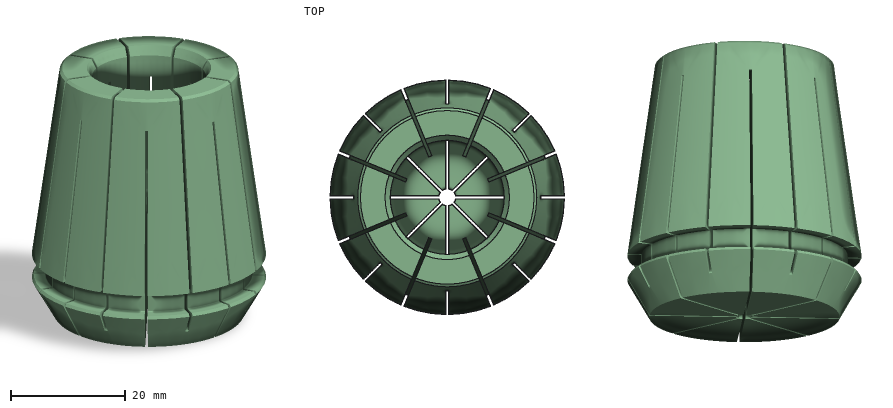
import cadquery as cq
import math

height = 46.0
max_diameter = 41.1
max_radius = max_diameter / 2

nose_half_angle = 30.0
nose_height = 6.65
flange_top = 7.18
flange_chamfer = 0.3
groove_top = 11.05
groove_radius = 18.12
groove_corner_fillet = 0.2
taper_half_angle = 8.0
top_edge_chamfer = 0.4

bore_radius = 10.0
bore_mouth_chamfer = 0.9
bore_mouth_half_angle = 30.0
bore_floor_fillet = 0.75
hole_radius = 1.45
hole_edge_fillet = 0.55

slots_per_set = 8
slot_pitch = 360.0 / slots_per_set
nose_slot_width = 0.5
nose_slot_top = 40.5
top_slot_width = 0.6
top_slot_exit_height = 3.15
top_slot_slope = 61.0
top_slot_inner_radius = 7.77
cut_margin = 2.3

nose_radius = max_radius - nose_height * math.tan(math.radians(nose_half_angle))
top_radius = max_radius - (height - groove_top) * math.tan(math.radians(taper_half_angle))
bore_mouth_depth = bore_mouth_chamfer / math.tan(math.radians(bore_mouth_half_angle))

top_slot_exit_radius = nose_radius + top_slot_exit_height * math.tan(math.radians(nose_half_angle))


def slot_bottom_height(radius):
    """Height of the sloping bottom of a top slot at a given radius."""
    rise = (top_slot_exit_radius - radius) * math.tan(math.radians(top_slot_slope))
    return top_slot_exit_height + rise


bore_floor = slot_bottom_height(top_slot_inner_radius)


def make_body():
    """Revolve the double-tapered outside with its locating groove."""
    corner_offset = groove_corner_fillet * (1 - math.sqrt(0.5))
    corner_middle = (groove_radius + corner_offset, flange_top + corner_offset)
    body = (
        cq.Workplane("XZ")
        .moveTo(0, 0)
        .lineTo(nose_radius, 0)
        .lineTo(max_radius, nose_height)
        .lineTo(max_radius - flange_chamfer, flange_top)
        .lineTo(groove_radius + groove_corner_fillet, flange_top)
        .threePointArc(corner_middle, (groove_radius, flange_top + groove_corner_fillet))
        .lineTo(groove_radius, groove_top)
        .lineTo(max_radius, groove_top)
        .lineTo(top_radius, height)
        .lineTo(0, height)
        .close()
        .revolve(360, (0, 0, 0), (0, 1, 0))
    )
    return body.faces(">Z").edges().chamfer(top_edge_chamfer)


def make_bore():
    """Revolve the hollow: mouth chamfer, rounded floor corner and rounded hole edge."""
    corner_offset = bore_floor_fillet * (1 - math.sqrt(0.5))
    edge_offset = hole_edge_fillet * (1 - math.sqrt(0.5))
    corner_middle = (bore_radius - corner_offset, bore_floor + corner_offset)
    edge_middle = (hole_radius + edge_offset, bore_floor - edge_offset)
    return (
        cq.Workplane("XZ")
        .moveTo(0, 0)
        .lineTo(hole_radius, 0)
        .lineTo(hole_radius, bore_floor - hole_edge_fillet)
        .threePointArc(edge_middle, (hole_radius + hole_edge_fillet, bore_floor))
        .lineTo(bore_radius - bore_floor_fillet, bore_floor)
        .threePointArc(corner_middle, (bore_radius, bore_floor + bore_floor_fillet))
        .lineTo(bore_radius, height - bore_mouth_depth)
        .lineTo(bore_radius + bore_mouth_chamfer, height)
        .lineTo(0, height)
        .close()
        .revolve(360, (0, 0, 0), (0, 1, 0))
    )


def make_slot_set(outline, width, first_angle):
    """Make a ring of radial blades from one outline of radius against height."""
    blade = cq.Workplane("XZ").polyline(outline).close().extrude(width / 2, both=True)
    blades = cq.Workplane("XY")
    for index in range(slots_per_set):
        angle = first_angle + index * slot_pitch
        blades = blades.add(blade.rotate((0, 0, 0), (0, 0, 1), angle))
    return blades.combine()


cut_radius = max_radius + cut_margin
nose_slot_outline = [
    (0, -cut_margin),
    (cut_radius, -cut_margin),
    (cut_radius, nose_slot_top),
    (0, nose_slot_top),
]

cut_top = height + cut_margin
top_slot_outline = [
    (0, slot_bottom_height(0)),
    (cut_radius, slot_bottom_height(cut_radius)),
    (cut_radius, cut_top),
    (0, cut_top),
]

nose_slots = make_slot_set(nose_slot_outline, nose_slot_width, 0)
top_slots = make_slot_set(top_slot_outline, top_slot_width, slot_pitch / 2)

result = make_body().cut(make_bore()).cut(nose_slots).cut(top_slots)